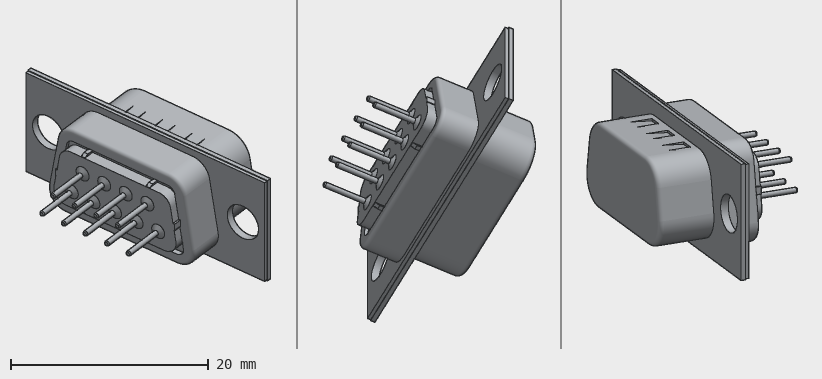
import cadquery as cq
import math


SIDE_ANGLE = math.radians(10)

REAR_PLATE = dict(width=30.8, height=12.5, thickness=0.5)
FRONT_PLATE = dict(width=30.68, height=12.32, thickness=0.37)
FRONT_PLATE_SHIFT = -0.03
MOUNT_HOLE_DIAMETER = 4.0
MOUNT_HOLE_SPACING = 25.0

REAR_SHELL_HALF_WIDTH = 8.65
REAR_SHELL_HALF_HEIGHT = 4.65
REAR_SHELL_RADIUS = 2.95
REAR_SHELL_END = 6.53
REAR_SHELL_FILLET = 0.5

FRONT_SHELL_HALF_WIDTH = 8.85
FRONT_SHELL_HALF_HEIGHT = 5.33
FRONT_SHELL_RADIUS = 2.2
FRONT_SHELL_END = -4.45
FRONT_SHELL_FILLET = 0.43
FRONT_SHELL_WALL = 1.3
OPENING_HALF_WIDTH = FRONT_SHELL_HALF_WIDTH - FRONT_SHELL_WALL / math.cos(SIDE_ANGLE)

BODY_HALF_HEIGHT = 3.45
BODY_RADIUS = 1.5
BODY_END = -5.35

SHOULDER_RECESS = 0.4
SHOULDER_FILLET = 1.0

DIMPLE_PITCH = 3.8
DIMPLE_WIDTH = 1.6
DIMPLE_START = 1.1
DIMPLE_LENGTH = 2.35
DIMPLE_DEPTH = 0.25

BARB_X = 4.15
BARB_WIDTH = 0.5
BARB_HEIGHT = 0.22
BARB_CREST_END = -4.8
BARB_TIP = -5.3
SIDE_RIB_X = 7.67
SIDE_RIB_HEIGHT = 0.83

PIN_PITCH = 2.77
ROW_SPACING = 2.83
TOP_ROW_COUNT = 4
BOTTOM_ROW_COUNT = 5
PIN_RADIUS = 0.293
PIN_TIP = -10.32
PIN_TIP_CHAMFER = 0.15
CONE_RADIUS = 0.83
CONE_END = -5.7

PIN_OVERLAP = 0.12


def d_prism(half_width, half_height, radius, y_start, y_end):
    """Prism along Y with a rounded D outline, wider towards -Z."""
    lean = half_height * math.tan(SIDE_ANGLE)
    top, bottom = half_width - lean, half_width + lean
    corners = [(-top, half_height), (top, half_height), (bottom, -half_height), (-bottom, -half_height)]
    return (
        cq.Workplane("XZ", origin=(0, y_start, 0))
        .polyline(corners)
        .close()
        .extrude(y_start - y_end)
        .edges("|Y")
        .fillet(radius)
    )


def box(x_range, y_range, z_range):
    """Axis-aligned box from its limits."""
    sizes = [high - low for low, high in (x_range, y_range, z_range)]
    corner = (x_range[0], y_range[0], z_range[0])
    return cq.Workplane("XY").box(*sizes, centered=False).translate(corner)


def plate(size, y_front):
    half_width, half_height = size["width"] / 2, size["height"] / 2
    return box(
        (-half_width, half_width),
        (y_front, y_front + size["thickness"]),
        (-half_height, half_height),
    )


def flange():
    front_plate = plate(FRONT_PLATE, -FRONT_PLATE["thickness"]).translate((FRONT_PLATE_SHIFT, 0, 0))
    plates = plate(REAR_PLATE, 0).union(front_plate)
    holes = (
        cq.Workplane("XZ")
        .pushPoints([(-MOUNT_HOLE_SPACING / 2, 0), (MOUNT_HOLE_SPACING / 2, 0)])
        .circle(MOUNT_HOLE_DIAMETER / 2)
        .extrude(REAR_PLATE["thickness"] + FRONT_PLATE["thickness"], both=True)
    )
    return plates.cut(holes)


def rear_shell():
    """Mating shell with a rounded rim and dimples that deepen towards the flange."""
    shell = d_prism(
        REAR_SHELL_HALF_WIDTH, REAR_SHELL_HALF_HEIGHT, REAR_SHELL_RADIUS, REAR_SHELL_END, 0
    )
    shell = shell.faces(">Y").edges().fillet(REAR_SHELL_FILLET)
    ramp = [
        (DIMPLE_START, REAR_SHELL_HALF_HEIGHT),
        (DIMPLE_START, REAR_SHELL_HALF_HEIGHT - DIMPLE_DEPTH),
        (DIMPLE_START + DIMPLE_LENGTH, REAR_SHELL_HALF_HEIGHT),
    ]
    dimple = cq.Workplane("YZ").polyline(ramp).close().extrude(DIMPLE_WIDTH / 2, both=True)
    for step in (-1, 0, 1):
        shell = shell.cut(dimple.translate((step * DIMPLE_PITCH, 0, 0)))
    return shell


def front_opening():
    """Opening of the front shell, which leaves an even wall all round."""
    return d_prism(
        OPENING_HALF_WIDTH,
        FRONT_SHELL_HALF_HEIGHT - FRONT_SHELL_WALL,
        FRONT_SHELL_RADIUS - FRONT_SHELL_WALL,
        -FRONT_PLATE["thickness"],
        FRONT_SHELL_END,
    )


def front_shell():
    """Solder-side shell with a rounded rim, closed by a recessed insulator shoulder."""
    shell = d_prism(
        FRONT_SHELL_HALF_WIDTH, FRONT_SHELL_HALF_HEIGHT, FRONT_SHELL_RADIUS, 0, FRONT_SHELL_END
    )
    shell = shell.faces("<Y").edges().fillet(FRONT_SHELL_FILLET)
    shoulder_top = BODY_HALF_HEIGHT + SHOULDER_FILLET
    shoulder = box(
        (-FRONT_SHELL_HALF_WIDTH, FRONT_SHELL_HALF_WIDTH),
        (FRONT_SHELL_END + SHOULDER_RECESS, 0),
        (-shoulder_top, shoulder_top),
    )
    shoulder = shoulder.faces("<Y").edges("|X").fillet(SHOULDER_FILLET)
    return shell.cut(front_opening().cut(shoulder))


def insulator_body():
    """Insulator that fills the opening side to side and carries small ribs."""
    body = d_prism(OPENING_HALF_WIDTH, BODY_HALF_HEIGHT, BODY_RADIUS, 0, BODY_END)
    body = body.union(
        box(
            (-SIDE_RIB_X, SIDE_RIB_X),
            (BODY_END, 0),
            (-SIDE_RIB_HEIGHT / 2, SIDE_RIB_HEIGHT / 2),
        )
    )
    crest = BODY_HALF_HEIGHT + BARB_HEIGHT
    barb_side = [
        (0, 0),
        (0, crest),
        (BARB_CREST_END, crest),
        (BARB_TIP, BODY_HALF_HEIGHT),
        (BARB_TIP, 0),
    ]
    barb = cq.Workplane("YZ").polyline(barb_side).close().extrude(BARB_WIDTH / 2, both=True)
    barb = barb.union(barb.mirror("XY"))
    for x in (-BARB_X, BARB_X):
        body = body.union(barb.translate((x, 0, 0)))
    return body


def pin():
    """Solder pin on the Y axis with a conical foot and a chamfered tip."""
    foot = BODY_END + PIN_OVERLAP
    tip_radius = PIN_RADIUS - PIN_TIP_CHAMFER / 2
    half_section = [
        (0, foot),
        (CONE_RADIUS, foot),
        (CONE_RADIUS, BODY_END),
        (PIN_RADIUS, CONE_END),
        (PIN_RADIUS, PIN_TIP + PIN_TIP_CHAMFER),
        (tip_radius, PIN_TIP),
        (0, PIN_TIP),
    ]
    return cq.Workplane("XY").polyline(half_section).close().revolve(360, (0, 0, 0), (0, 1, 0))


def add_pin_row(solid, count, z):
    for index in range(count):
        x = (index - (count - 1) / 2) * PIN_PITCH
        solid = solid.union(pin().translate((x, 0, z)))
    return solid


result = flange().union(rear_shell()).union(front_shell()).union(insulator_body())
result = add_pin_row(result, TOP_ROW_COUNT, ROW_SPACING / 2)
result = add_pin_row(result, BOTTOM_ROW_COUNT, -ROW_SPACING / 2)